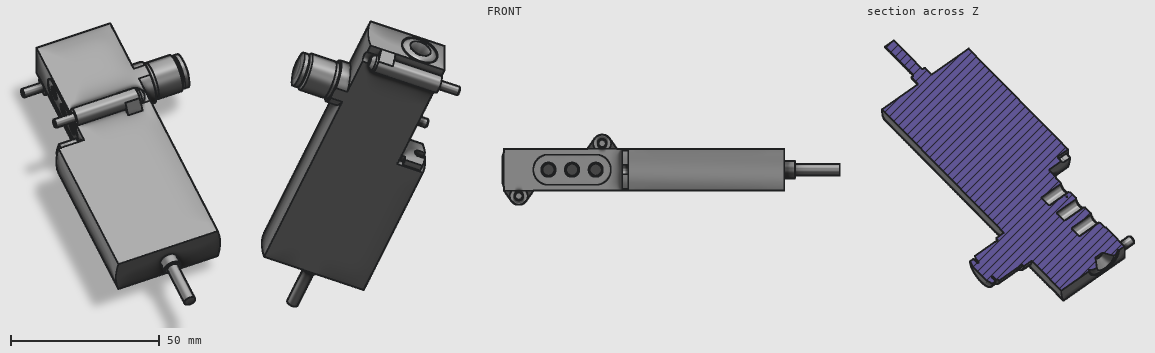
import cadquery as cq

LENGTH = 113.6
BODY_LEFT = 0.6
BODY_RIGHT = 95.0
STEP_X = 42.5
HALF_THICK = 7.0
BACK_EDGE_Y = 26.9
FRONT_EDGE_Y = -9.3
FACE_BULGE = 0.9

AXIS_Y = 9.0
GLAND_D = 6.0
GLAND_END = 98.6
GLAND_CHAMFER = 0.2
CABLE_D = 4.0
PLUG_D = 12.5
PLUG_SEAT_D = 13.0
PLUG_BASE_X = 0.9
PLUG_MID_D = 10.8
PLUG_MID_X = 0.3
PLUG_RIM_D = 7.4
PLUG_HOLE_D = 3.0
PLUG_HOLE_DEPTH = 3.4

PORT_X = 23.5
PORT_PITCH = 8.0
PORT_D = 4.0
PORT_DEPTH = 9.1
PORT_CHAMFER = 0.5
GASKET_WIDTH = 10.2
GASKET_DEPTH = 0.2

SCREW_UPPER_X = 33.6
SCREW_LOWER_X = 5.6
SCREW_Z = 8.9
SCREW_D = 3.1
SCREW_TIP_Y = -7.3
SCREW_CHAMFER = 0.3
BOSS_D = 6.0
BOSS_BOTTOM_Y = 0.1
BOSS_TOP_Y = 23.0
HEAD_D = 5.6
HEAD_TIP_D = 2.7
HEAD_RIM_Y = 23.7
HEAD_MID_D = 4.3
HEAD_MID_Y = 24.5
HEAD_TOP_Y = 25.2
WING_HEIGHT = 5.2
WING_FOOT = 5.0
WING_TOP = 2.4
WING_TOP_Z = 10.8

COLLAR_D = 14.8
COLLAR_TOP = 31.2
COLLAR_CHAMFER = 0.2
FITTING_D = 13.0
SLEEVE_D = 12.7
SLEEVE_TOP = 32.5
FITTING_SHOULDER = 41.1
FITTING_TOP_D = 10.8
FITTING_TOP = 41.8
NECK_D = 7.4
FLANGE_BOTTOM = 42.3
FLANGE_D = 11.8
FLANGE_EDGE_TOP = 43.8
FLANGE_TOP_D = 7.4
FITTING_END = 44.5

PLATE_LEFT = 40.3
PLATE_HALF = 6.4
PLATE_NECK_HALF = 4.5
PLATE_NECK_Y = -2.0
PLATE_CORNER_Y = -8.3
PLATE_END_Y = -9.3
SLOT_D = 3.2
SLOT_CENTER_Y = -7.0


def cylinder_x(diameter, start, end):
    return cq.Workplane("YZ", origin=(start, AXIS_Y, 0)).circle(diameter / 2).extrude(end - start)


def cylinder_y(x, z, diameter, start, end):
    plane = cq.Plane(origin=(x, start, z), xDir=(1, 0, 0), normal=(0, 1, 0))
    return cq.Workplane(plane).circle(diameter / 2).extrude(end - start)


def bulged_body():
    """Broad flat body whose two narrow long faces are gently curved."""
    outline = (
        cq.Workplane("YZ", origin=(BODY_LEFT, 0, 0))
        .moveTo(BACK_EDGE_Y, -HALF_THICK)
        .threePointArc((BACK_EDGE_Y + FACE_BULGE, 0), (BACK_EDGE_Y, HALF_THICK))
        .lineTo(FRONT_EDGE_Y, HALF_THICK)
        .threePointArc((FRONT_EDGE_Y - FACE_BULGE, 0), (FRONT_EDGE_Y, -HALF_THICK))
        .close()
    )
    body = outline.extrude(BODY_RIGHT - BODY_LEFT)
    step_depth = FACE_BULGE - FRONT_EDGE_Y
    step = cq.Workplane("XY").box(STEP_X, step_depth, 2 * HALF_THICK, centered=(False, False, True))
    return body.cut(step.translate((0, -step_depth, 0)))


def end_plate():
    """Necked plate with a round-ended slot open to its curved -Y edge."""
    plate = (
        cq.Workplane("YZ", origin=(PLATE_LEFT, 0, 0))
        .moveTo(0, -PLATE_NECK_HALF)
        .lineTo(PLATE_NECK_Y, -PLATE_NECK_HALF)
        .lineTo(PLATE_NECK_Y, -PLATE_HALF)
        .lineTo(PLATE_CORNER_Y, -PLATE_HALF)
        .threePointArc((PLATE_END_Y, 0), (PLATE_CORNER_Y, PLATE_HALF))
        .lineTo(PLATE_NECK_Y, PLATE_HALF)
        .lineTo(PLATE_NECK_Y, PLATE_NECK_HALF)
        .lineTo(0, PLATE_NECK_HALF)
        .close()
        .extrude(STEP_X - PLATE_LEFT)
    )
    slot_length = 2 * (SLOT_CENTER_Y - PLATE_END_Y) + SLOT_D
    slot = (
        cq.Workplane("YZ", origin=(PLATE_LEFT, PLATE_END_Y, 0))
        .slot2D(slot_length, SLOT_D)
        .extrude(STEP_X - PLATE_LEFT)
    )
    return plate.cut(slot)


def plug_seat():
    """Shallow round seat for the plug in the left end of the body."""
    return cylinder_x(PLUG_SEAT_D, BODY_LEFT, PLUG_BASE_X)


def end_plug():
    """Low dome standing in the seat and out of the left end."""
    profile = (
        cq.Workplane("XY", origin=(0, AXIS_Y, 0))
        .moveTo(PLUG_BASE_X, 0)
        .lineTo(PLUG_BASE_X, PLUG_D / 2)
        .threePointArc((PLUG_MID_X, PLUG_MID_D / 2), (0, PLUG_RIM_D / 2))
        .lineTo(0, 0)
        .close()
    )
    return profile.revolve(360, (0, 0, 0), (1, 0, 0))


def plug_socket():
    """Conical socket in the middle of the plug."""
    profile = (
        cq.Workplane("XY", origin=(0, AXIS_Y, 0))
        .lineTo(0, PLUG_RIM_D / 2)
        .lineTo(PLUG_HOLE_DEPTH, PLUG_HOLE_D / 2)
        .lineTo(PLUG_HOLE_DEPTH, 0)
        .close()
    )
    return profile.revolve(360, (0, 0, 0), (1, 0, 0))


def cable():
    """Cable with its gland on the right end of the body."""
    gland = cylinder_x(GLAND_D, BODY_RIGHT, GLAND_END).faces(">X").chamfer(GLAND_CHAMFER)
    return gland.union(cylinder_x(CABLE_D, BODY_RIGHT, LENGTH))


def ports():
    """Gasket recess with three chamfered ports along X."""
    recess = (
        cq.Workplane("XZ", origin=(PORT_X, 0, 0))
        .slot2D(2 * PORT_PITCH + GASKET_WIDTH, GASKET_WIDTH)
        .extrude(-GASKET_DEPTH)
    )
    mouth_radius = PORT_D / 2 + PORT_CHAMFER
    port = (
        cq.Workplane("XY")
        .lineTo(mouth_radius, 0)
        .lineTo(mouth_radius, GASKET_DEPTH)
        .lineTo(PORT_D / 2, GASKET_DEPTH + PORT_CHAMFER)
        .lineTo(PORT_D / 2, PORT_DEPTH)
        .lineTo(0, PORT_DEPTH)
        .close()
        .revolve(360, (0, 0, 0), (0, 1, 0))
    )
    for position in (-1, 0, 1):
        recess = recess.union(port.translate((PORT_X + position * PORT_PITCH, 0, 0)))
    return recess


def screw_mount(x):
    """Boss, wings and screw on the +Z face."""
    boss = cylinder_y(x, SCREW_Z, BOSS_D, BOSS_BOTTOM_Y, BOSS_TOP_Y)
    wings = (
        cq.Workplane("XZ", origin=(x, BOSS_TOP_Y, 0))
        .polyline([
            (-WING_FOOT, HALF_THICK),
            (WING_FOOT, HALF_THICK),
            (WING_TOP, WING_TOP_Z),
            (-WING_TOP, WING_TOP_Z),
        ])
        .close()
        .extrude(WING_HEIGHT)
    )
    shank = cylinder_y(x, SCREW_Z, SCREW_D, SCREW_TIP_Y, BOSS_TOP_Y).faces("<Y").chamfer(SCREW_CHAMFER)
    head = (
        cq.Workplane("XY", origin=(x, 0, SCREW_Z))
        .moveTo(0, BOSS_TOP_Y)
        .lineTo(HEAD_D / 2, BOSS_TOP_Y)
        .lineTo(HEAD_D / 2, HEAD_RIM_Y)
        .threePointArc((HEAD_MID_D / 2, HEAD_MID_Y), (HEAD_TIP_D / 2, HEAD_TOP_Y))
        .lineTo(0, HEAD_TOP_Y)
        .close()
        .revolve(360, (0, 0, 0), (0, 1, 0))
    )
    return boss.union(wings).union(shank).union(head)


def head_groove(x):
    """Clearance for the screw head and driver, running out through the back face."""
    return cylinder_y(x, SCREW_Z, HEAD_D, BOSS_TOP_Y, BACK_EDGE_Y + FACE_BULGE)


def to_lower_face(shape):
    return shape.mirror("XY")


def fitting():
    """Turned fitting on a collar trimmed flush with the broad faces."""
    collar = cylinder_y(PORT_X, 0, COLLAR_D, BACK_EDGE_Y, COLLAR_TOP).faces(">Y").chamfer(COLLAR_CHAMFER)
    slab = cq.Workplane("XY").box(LENGTH, LENGTH, 2 * HALF_THICK)
    barrel = (
        cq.Workplane("XY", origin=(PORT_X, 0, 0))
        .moveTo(0, BACK_EDGE_Y)
        .lineTo(SLEEVE_D / 2, BACK_EDGE_Y)
        .lineTo(SLEEVE_D / 2, SLEEVE_TOP)
        .lineTo(FITTING_D / 2, SLEEVE_TOP)
        .lineTo(FITTING_D / 2, FITTING_SHOULDER)
        .lineTo(FITTING_TOP_D / 2, FITTING_TOP)
        .lineTo(NECK_D / 2, FITTING_TOP)
        .lineTo(NECK_D / 2, FLANGE_BOTTOM)
        .lineTo(FLANGE_D / 2, FLANGE_BOTTOM)
        .lineTo(FLANGE_D / 2, FLANGE_EDGE_TOP)
        .lineTo(FLANGE_TOP_D / 2, FITTING_END)
        .lineTo(0, FITTING_END)
        .close()
        .revolve(360, (0, 0, 0), (0, 1, 0))
    )
    return collar.intersect(slab).union(barrel)


body = bulged_body().union(fitting()).union(end_plate()).union(cable())
body = body.cut(plug_seat()).union(end_plug()).cut(plug_socket()).cut(ports())
body = body.cut(head_groove(SCREW_UPPER_X)).cut(to_lower_face(head_groove(SCREW_LOWER_X)))
result = body.union(screw_mount(SCREW_UPPER_X)).union(to_lower_face(screw_mount(SCREW_LOWER_X)))